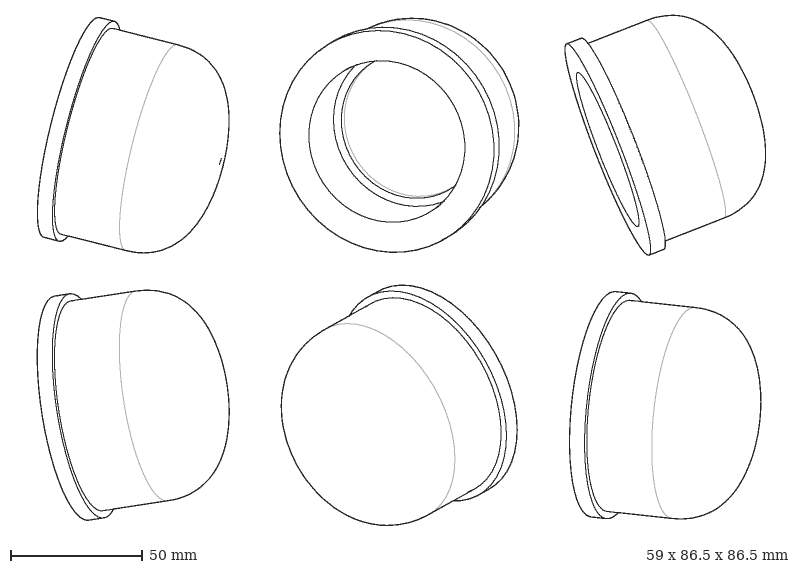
import cadquery as cq

flange_diameter = 86.5
flange_thickness = 6.05
body_diameter = 81.0
dome_start = 32.0
total_length = 59.0
socket_diameter = 63.0
socket_depth = 28.55
inner_diameter = 56.7

rim_fullness = 0.68
tip_fullness = 0.62

wall = (body_diameter - inner_diameter) / 2
dome_height = total_length - dome_start


def smooth_dome(height, diameter):
    """Solid dome on the dome plane, tangent to the body at its rim and square to X at its tip."""
    radius = diameter / 2
    tip = dome_start + height
    curve_points = [
        (dome_start, radius),
        (dome_start + rim_fullness * height, radius),
        (tip, tip_fullness * radius),
        (tip, 0),
    ]
    return (
        cq.Workplane("XY")
        .moveTo(dome_start, 0)
        .lineTo(dome_start, radius)
        .bezier(curve_points)
        .close()
        .revolve(360, (0, 0, 0), (1, 0, 0))
    )


def cylinder(length, diameter):
    """Cylinder along X from the open face."""
    return cq.Workplane("YZ").circle(diameter / 2).extrude(length)


outside = (
    cylinder(flange_thickness, flange_diameter)
    .union(cylinder(dome_start, body_diameter))
    .union(smooth_dome(dome_height, body_diameter))
)

inside = (
    cylinder(socket_depth, socket_diameter)
    .union(cylinder(dome_start, inner_diameter))
    .union(smooth_dome(dome_height - wall, inner_diameter))
)

result = outside.cut(inside)